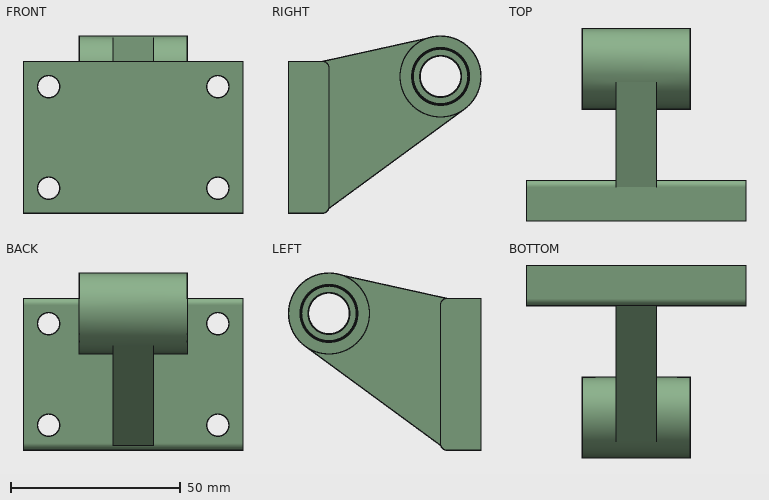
import cadquery as cq
import math

plate_width = 65.0
plate_thickness = 12.0
plate_height = 45.0
edge_radius = 2.0
hole_diameter = 6.5
hole_inset = 7.5

tube_diameter = 24.0
tube_radius = tube_diameter / 2
tube_length = 32.0
tube_y = 57.0 - tube_radius
tube_z = 52.5 - tube_radius
bore_diameter = 12.0
bore_chamfer = 0.2

groove_radius = 8.3
groove_half_width = 0.25
groove_depth = 0.2

rib_width = 12.0
rib_root_y = plate_thickness - edge_radius
rib_top_end_y = 41.0


def lower_tangent_point(start_y, start_z):
    """Point under the tube where a line from the start touches it."""
    dy = start_y - tube_y
    dz = start_z - tube_z
    distance = math.hypot(dy, dz)
    angle = math.atan2(dz, dy) + math.acos(tube_radius / distance)
    return (tube_y + tube_radius * math.cos(angle), tube_z + tube_radius * math.sin(angle))


def make_plate():
    plate = cq.Workplane("XY").box(
        plate_width, plate_thickness, plate_height, centered=(True, False, False)
    )
    plate = plate.faces(">Y").edges("|X").fillet(edge_radius)
    holes = (
        cq.Workplane("XZ", origin=(0, 0, plate_height / 2))
        .rarray(plate_width - 2 * hole_inset, plate_height - 2 * hole_inset, 2, 2)
        .circle(hole_diameter / 2)
        .extrude(-plate_thickness)
    )
    return plate.cut(holes)


def make_rib():
    top_root = (rib_root_y, plate_height)
    top_end_z = tube_z + math.sqrt(tube_radius**2 - (tube_y - rib_top_end_y) ** 2)
    top_end = (rib_top_end_y, top_end_z)
    bottom_root = (rib_root_y, 0)
    return (
        cq.Workplane("YZ")
        .moveTo(*bottom_root)
        .lineTo(*lower_tangent_point(*bottom_root))
        .lineTo(tube_y, tube_z)
        .lineTo(*top_end)
        .lineTo(*top_root)
        .close()
        .extrude(rib_width / 2, both=True)
    )


def tube_cylinder(diameter):
    return (
        cq.Workplane("YZ", origin=(0, tube_y, tube_z))
        .circle(diameter / 2)
        .extrude(tube_length / 2, both=True)
    )


def make_bore():
    """Through bore that flares by the chamfer at both ends."""
    bore = tube_cylinder(bore_diameter)
    flared_radius = bore_diameter / 2 + bore_chamfer
    for side in (-1, 1):
        end_x = side * tube_length / 2
        flare = cq.Solid.makeCone(
            flared_radius,
            bore_diameter / 2,
            bore_chamfer,
            pnt=cq.Vector(end_x, tube_y, tube_z),
            dir=cq.Vector(-side, 0, 0),
        )
        bore = bore.union(cq.Workplane(obj=flare))
    return bore


def make_groove(side):
    """Ring with a V section, cut into the tube end on the given side of X."""
    end_x = side * tube_length / 2
    return (
        cq.Workplane("XY", origin=(0, tube_y, tube_z))
        .moveTo(end_x, groove_radius - groove_half_width)
        .lineTo(end_x - side * groove_depth, groove_radius)
        .lineTo(end_x, groove_radius + groove_half_width)
        .close()
        .revolve(360, (0, 0), (1, 0))
    )


result = make_plate().union(make_rib()).union(tube_cylinder(tube_diameter)).cut(make_bore())
for end_side in (-1, 1):
    result = result.cut(make_groove(end_side))